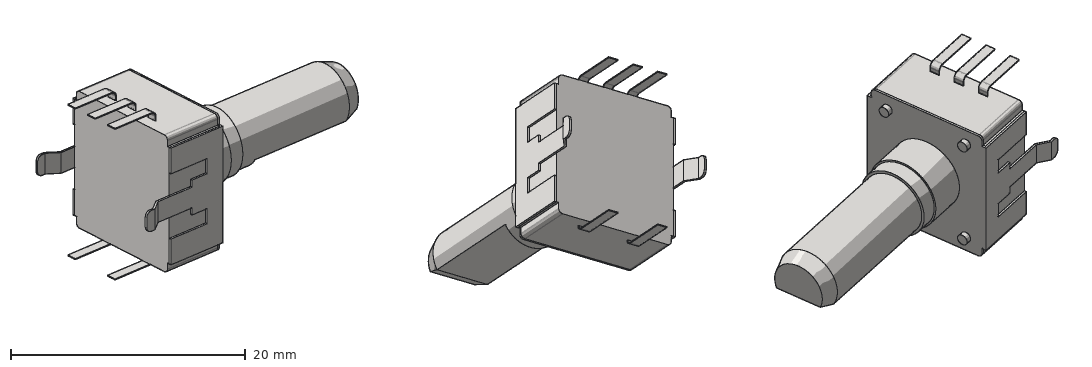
import cadquery as cq
import math


HOUSING_WIDTH = 11.5
HOUSING_HEIGHT = 13.17
HOUSING_CORNER_RADIUS = 0.4
HOUSING_FRONT_Y = -5.98

SHEET_THICKNESS = 0.2
FLAP_OUTER_X = 6.18
FLAP_INNER_X = FLAP_OUTER_X - SHEET_THICKNESS
FLAP_HEIGHT = 11.23

TAB_HALF_HEIGHT = 1.0
TAB_ROOT_HALF_HEIGHT = 1.68
TAB_ROOT_Y = -3.53
NOTCH_HALF_HEIGHT = 3.14
NOTCH_END_Y = -1.82
TAB_SPAN = 14.0
TAB_OUTER_X = TAB_SPAN / 2
TAB_BEND_START_Y = -7.47
TAB_BEND_END_Y = -8.55
TAB_CORNER_RADIUS = 0.5
LEAD_END_Y = -9.5

BUSHING_DIAMETER = 6.85
BUSHING_END_Y = 3.5
COLLAR_DIAMETER = 6.5
COLLAR_END_Y = 5.0
SHAFT_DIAMETER = 5.98
OVERALL_LENGTH = 28.5
SHAFT_END_Y = LEAD_END_Y + OVERALL_LENGTH
SHAFT_FLAT_Z = -1.5
SHAFT_FLAT_START_Y = 7.0
TIP_BEVEL_LENGTH = 1.5
TIP_BEVEL_DEPTH = 0.5

PEG_DIAMETER = 1.0
PEG_LENGTH = 0.5
PEG_X = 4.08
PEG_Z = 5.1

TERMINAL_WIDTH = 0.95
TERMINAL_THICKNESS = 0.1
TERMINAL_BEND_RADIUS = 0.5
TERMINAL_BACK_Y = -4.75
TERMINAL_PITCH = 2.5
TERMINAL_EMBEDDED = 0.28
TERMINAL_UPPER_Z = 7.52
TERMINAL_LOWER_Z = 7.07
UPPER_TERMINAL_XS = (-TERMINAL_PITCH, 0, TERMINAL_PITCH)
LOWER_TERMINAL_XS = (-TERMINAL_PITCH, TERMINAL_PITCH)


def box(x_min, x_max, y_min, y_max, z_min, z_max):
    """Box given by its limits on each axis."""
    return cq.Workplane("XY").box(
        x_max - x_min, y_max - y_min, z_max - z_min, centered=False
    ).translate((x_min, y_min, z_min))


def rod(diameter, y_start, y_end, x=0, z=0):
    """Cylinder along Y."""
    cylinder = cq.Solid.makeCylinder(
        diameter / 2, y_end - y_start, cq.Vector(x, y_start, z), cq.Vector(0, 1, 0)
    )
    return cq.Workplane(obj=cylinder)


def rounded_block(y_min, y_max):
    """Slice of the block outline with its four rounded corners."""
    return box(
        -HOUSING_WIDTH / 2, HOUSING_WIDTH / 2, y_min, y_max, -HOUSING_HEIGHT / 2, HOUSING_HEIGHT / 2
    ).edges("|Y").fillet(HOUSING_CORNER_RADIUS)


def widened_block(y_min, y_max):
    """Block outline widened between the flaps so that it reaches their inner faces."""
    middle = box(-FLAP_INNER_X, FLAP_INNER_X, y_min, y_max, -FLAP_HEIGHT / 2, FLAP_HEIGHT / 2)
    return rounded_block(y_min, y_max).union(middle)


def make_terminal(x, outer_z):
    """Strip that rises out of the housing and bends towards the front, for the upper side."""
    root_z = HOUSING_HEIGHT / 2 - TERMINAL_EMBEDDED
    inner_z = outer_z - TERMINAL_THICKNESS
    inner_radius = TERMINAL_BEND_RADIUS - TERMINAL_THICKNESS
    bend_y = TERMINAL_BACK_Y - TERMINAL_BEND_RADIUS
    bend_z = outer_z - TERMINAL_BEND_RADIUS
    outer_diagonal = TERMINAL_BEND_RADIUS * math.sqrt(0.5)
    inner_diagonal = inner_radius * math.sqrt(0.5)
    return (
        cq.Workplane("YZ")
        .moveTo(TERMINAL_BACK_Y, root_z)
        .lineTo(TERMINAL_BACK_Y, bend_z)
        .threePointArc((bend_y + outer_diagonal, bend_z + outer_diagonal), (bend_y, outer_z))
        .lineTo(LEAD_END_Y, outer_z)
        .lineTo(LEAD_END_Y, inner_z)
        .lineTo(bend_y, inner_z)
        .threePointArc((bend_y + inner_diagonal, bend_z + inner_diagonal), (bend_y + inner_radius, bend_z))
        .lineTo(bend_y + inner_radius, root_z)
        .close()
        .extrude(TERMINAL_WIDTH / 2, both=True)
        .translate((x, 0, 0))
    )


def make_housing():
    """Housing block with three terminals above and two below."""
    housing = widened_block(HOUSING_FRONT_Y, -SHEET_THICKNESS)
    for x in UPPER_TERMINAL_XS:
        housing = housing.union(make_terminal(x, TERMINAL_UPPER_Z))
    for x in LOWER_TERMINAL_XS:
        housing = housing.union(make_terminal(x, TERMINAL_LOWER_Z).mirror("XY"))
    return housing


def make_flap():
    """Flap on the +X side, with its notches and cranked mounting tab."""
    flap = box(
        FLAP_INNER_X, FLAP_OUTER_X, HOUSING_FRONT_Y, 0, -FLAP_HEIGHT / 2, FLAP_HEIGHT / 2
    )
    notch = box(
        FLAP_INNER_X, FLAP_OUTER_X, HOUSING_FRONT_Y, NOTCH_END_Y, -NOTCH_HALF_HEIGHT, NOTCH_HALF_HEIGHT
    )
    root = box(
        FLAP_INNER_X, FLAP_OUTER_X, TAB_ROOT_Y, NOTCH_END_Y, -TAB_ROOT_HALF_HEIGHT, TAB_ROOT_HALF_HEIGHT
    )
    bend_angle = math.atan2(TAB_OUTER_X - FLAP_OUTER_X, TAB_BEND_START_Y - TAB_BEND_END_Y)
    miter = SHEET_THICKNESS * math.tan(bend_angle / 2)
    tab = (
        cq.Workplane("XY")
        .polyline([
            (FLAP_OUTER_X, TAB_ROOT_Y),
            (FLAP_OUTER_X, TAB_BEND_START_Y),
            (TAB_OUTER_X, TAB_BEND_END_Y),
            (TAB_OUTER_X, LEAD_END_Y),
            (TAB_OUTER_X - SHEET_THICKNESS, LEAD_END_Y),
            (TAB_OUTER_X - SHEET_THICKNESS, TAB_BEND_END_Y - miter),
            (FLAP_INNER_X, TAB_BEND_START_Y - miter),
            (FLAP_INNER_X, TAB_ROOT_Y),
        ])
        .close()
        .extrude(TAB_HALF_HEIGHT, both=True)
        .faces("<Y").edges("|X").fillet(TAB_CORNER_RADIUS)
    )
    return flap.cut(notch).union(root).union(tab)


def make_shaft():
    """Round shaft with a flat underneath and a bevel all around its tip."""
    radius = SHAFT_DIAMETER / 2
    bevel_y = SHAFT_END_Y - TIP_BEVEL_LENGTH
    shaft = (
        cq.Workplane("XY")
        .polyline([
            (0, COLLAR_END_Y),
            (radius, COLLAR_END_Y),
            (radius, bevel_y),
            (radius - TIP_BEVEL_DEPTH, SHAFT_END_Y),
            (0, SHAFT_END_Y),
        ])
        .close()
        .revolve(360, (0, 0, 0), (0, 1, 0))
    )
    below_flat = (
        cq.Workplane("YZ")
        .polyline([
            (SHAFT_FLAT_START_Y, -radius),
            (SHAFT_FLAT_START_Y, SHAFT_FLAT_Z),
            (bevel_y, SHAFT_FLAT_Z),
            (SHAFT_END_Y, SHAFT_FLAT_Z + TIP_BEVEL_DEPTH),
            (SHAFT_END_Y, -radius),
        ])
        .close()
        .extrude(radius, both=True)
    )
    return shaft.cut(below_flat)


def make_cover():
    """Back plate and flaps, with the bushing, shaft and pegs standing on the plate."""
    cover = widened_block(-SHEET_THICKNESS, 0)
    flap = make_flap()
    cover = cover.union(flap).union(flap.mirror("YZ"))
    cover = cover.union(rod(BUSHING_DIAMETER, 0, BUSHING_END_Y))
    cover = cover.union(rod(COLLAR_DIAMETER, BUSHING_END_Y, COLLAR_END_Y))
    cover = cover.union(make_shaft())
    for x in (-PEG_X, PEG_X):
        for z in (-PEG_Z, PEG_Z):
            cover = cover.union(rod(PEG_DIAMETER, 0, PEG_LENGTH, x, z))
    return cover


housing = make_housing()
cover = make_cover()
result = cq.Compound.makeCompound([housing.val(), cover.val()])